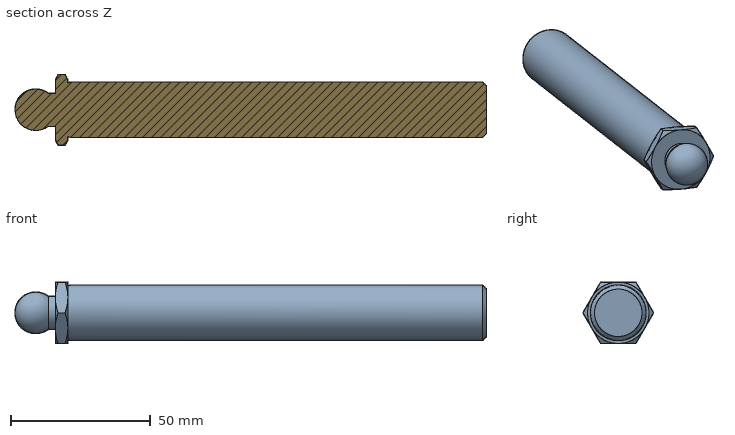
import cadquery as cq
import math

overall_length = 169.0
ball_diameter = 15.0
neck_diameter = 12.0
hex_across_flats = 22.0
hex_thickness = 4.5
hex_chamfer_angle = 30.0
body_diameter = 20.0
body_length = 150.0
body_end_chamfer = 1.5
shoulder_length = 1.0
shoulder_angle = 15.0

ball_radius = ball_diameter / 2
ball_tip_x = -ball_radius
body_end_x = ball_tip_x + overall_length
hex_back_x = body_end_x - body_length
hex_front_x = hex_back_x - hex_thickness

hex_across_corners = hex_across_flats / math.cos(math.radians(30))
hex_flat_radius = hex_across_flats / 2
hex_corner_radius = hex_across_corners / 2
hex_chamfer_length = (hex_corner_radius - hex_flat_radius) * math.tan(math.radians(hex_chamfer_angle))

shoulder_depth = shoulder_length * math.tan(math.radians(shoulder_angle))


def revolve_about_x(profile):
    """Turn a closed outline, drawn as X against radius, around the X axis."""
    return profile.close().revolve(360, (0, 0, 0), (1, 0, 0))


def make_ball_and_neck():
    """Ball whose back runs into a cylindrical neck that ends on the hexagon."""
    neck_radius = neck_diameter / 2
    neck_start_x = math.sqrt(ball_radius**2 - neck_radius**2)
    profile = (
        cq.Workplane("XY")
        .moveTo(ball_tip_x, 0)
        .threePointArc((0, ball_radius), (neck_start_x, neck_radius))
        .lineTo(hex_front_x, neck_radius)
        .lineTo(hex_front_x, 0)
    )
    return revolve_about_x(profile)


def make_hexagon():
    """Hexagon with corners on +Y and -Y, both faces chamfered at the corners."""
    prism = (
        cq.Workplane("YZ", origin=(hex_front_x, 0, 0))
        .polygon(6, hex_across_corners)
        .extrude(hex_thickness)
    )
    chamfer_envelope = (
        cq.Workplane("XY")
        .moveTo(hex_front_x, 0)
        .lineTo(hex_front_x, hex_flat_radius)
        .lineTo(hex_front_x + hex_chamfer_length, hex_corner_radius)
        .lineTo(hex_back_x - hex_chamfer_length, hex_corner_radius)
        .lineTo(hex_back_x, hex_flat_radius)
        .lineTo(hex_back_x, 0)
    )
    return prism.intersect(revolve_about_x(chamfer_envelope))


def make_body():
    """Long cylinder with a tapered shoulder at the hexagon and a chamfered free end."""
    body_radius = body_diameter / 2
    profile = (
        cq.Workplane("XY")
        .moveTo(hex_back_x, 0)
        .lineTo(hex_back_x, body_radius - shoulder_depth)
        .lineTo(hex_back_x + shoulder_length, body_radius)
        .lineTo(body_end_x - body_end_chamfer, body_radius)
        .lineTo(body_end_x, body_radius - body_end_chamfer)
        .lineTo(body_end_x, 0)
    )
    return revolve_about_x(profile)


result = make_ball_and_neck().union(make_hexagon()).union(make_body())